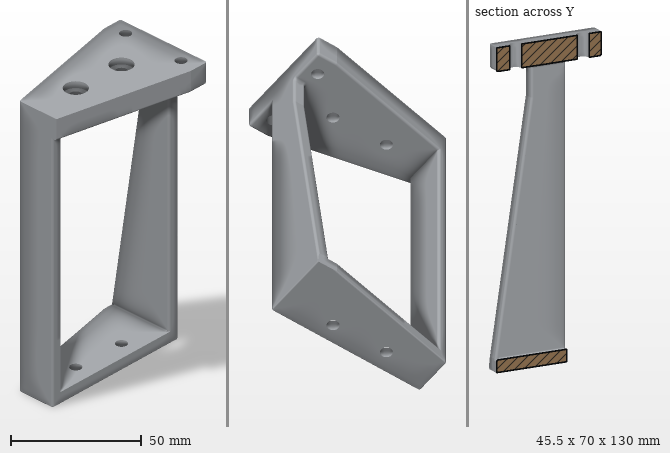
import cadquery as cq
width = 45.5
depth = 70.0
height = 130.0
half_width = width / 2

front_half_width = 9.75
taper_end_y = 61.0

front_leg = 4.3
rear_wall = 5.2
base = 5.2
head = 9.7
wall_y = depth - rear_wall
head_underside = height - head

frame_right = 7.75

slant_top_z = 107.5
slant_top_x = -7.2

edge_radius = 1.0
bottom_radius = 0.5
floor_corner_radius = 0.6

screw_diameter = 5.0
counterbore_diameter = 10.0
counterbore_depth = 3.0
screw_points = [(-0.6, 21.7), (0.2, 46.3)]
rear_hole_points = [(-14.3, 64.0), (14.8, 64.0)]


def box_between(low, high):
    """Box with the two given opposite corners."""
    sizes = [b - a for a, b in zip(low, high)]
    return cq.Workplane("XY").box(*sizes, centered=False).translate(low)


def make_plan_prism():
    outline = [
        (-front_half_width, 0),
        (front_half_width, 0),
        (half_width, taper_end_y),
        (half_width, depth),
        (-half_width, depth),
        (-half_width, taper_end_y),
    ]
    return cq.Workplane("XY").polyline(outline).close().extrude(height)


def make_window():
    return box_between((-width, front_leg, base), (width, wall_y, head_underside))


def make_right_cut():
    return box_between((frame_right, 0, 0), (width, depth, head_underside))


def make_slant_cut():
    """Space to the left of the rear wall, between base and head."""
    profile = [
        (-half_width, base),
        (slant_top_x, slant_top_z),
        (slant_top_x, head_underside),
        (-width, head_underside),
        (-width, base),
    ]
    rear_plane = cq.Workplane("XZ", origin=(0, depth, 0))
    return rear_plane.polyline(profile).close().extrude(rear_wall)


def round_edges(part, radius, segments):
    """Round the straight edges of a part that have the given end points."""
    picked = []
    for start, end in segments:
        middle = tuple((a + b) / 2 for a, b in zip(start, end))
        picked += part.edges(cq.selectors.NearestToPointSelector(middle)).vals()
    return part.newObject(picked).fillet(radius)


def polyline_segments(points):
    return list(zip(points, points[1:]))


def round_window_mouth(part):
    """Round the base, leg and head edges on the open left side of the window."""
    taper_slope = (half_width - front_half_width) / taper_end_y
    leg_x = -front_half_width - taper_slope * front_leg
    mouth = [
        (-half_width, wall_y, base),
        (-half_width, taper_end_y, base),
        (leg_x, front_leg, base),
        (leg_x, front_leg, head_underside),
        (-half_width, taper_end_y, head_underside),
        (-half_width, depth, head_underside),
    ]
    return round_edges(part, edge_radius, polyline_segments(mouth))


def wall_left_edge(y):
    return polyline_segments([
        (-half_width, y, base),
        (slant_top_x, y, slant_top_z),
        (slant_top_x, y, head_underside),
    ])


def round_rear_wall(part):
    """Round the left edge of the rear wall and blend the wall into the head."""
    part = round_edges(part, edge_radius, wall_left_edge(wall_y))
    head_joint = [
        (frame_right, wall_y, head_underside),
        (slant_top_x, wall_y, head_underside),
        (slant_top_x, depth, head_underside),
    ]
    part = round_edges(part, edge_radius, polyline_segments(head_joint))
    return round_edges(part, edge_radius, wall_left_edge(depth))


def round_head(part):
    """Round the rear corners of the head and its lower right edges."""
    rear_corners = [
        ((x, depth, head_underside), (x, depth, height))
        for x in (-half_width, half_width)
    ]
    part = round_edges(part, edge_radius, rear_corners)
    lower_right = [
        (front_half_width, 0, head_underside),
        (half_width, taper_end_y, head_underside),
        (half_width, depth, head_underside),
    ]
    return round_edges(part, edge_radius, polyline_segments(lower_right))


def round_right_side(part):
    """Round the vertical right-hand edges of the leg front and of the rear wall."""
    verticals = [
        ((frame_right, 0, 0), (frame_right, 0, head_underside)),
        ((frame_right, wall_y, base), (frame_right, wall_y, head_underside)),
        ((frame_right, depth, 0), (frame_right, depth, head_underside)),
    ]
    for vertical in verticals:
        part = round_edges(part, edge_radius, [vertical])
    return part


def round_bottom(part):
    outline = [
        (-half_width, taper_end_y, 0),
        (-front_half_width, 0, 0),
        (frame_right, 0, 0),
        (frame_right, depth, 0),
        (-half_width, depth, 0),
    ]
    return round_edges(part, bottom_radius, polyline_segments(outline))


def make_floor_blend():
    """Concave strip in the corner between the base and the rear wall."""
    left = -half_width + edge_radius + floor_corner_radius
    right = frame_right - edge_radius
    corner = box_between(
        (left, wall_y - floor_corner_radius, base),
        (right, wall_y + floor_corner_radius, base + floor_corner_radius),
    )
    hollow = (
        cq.Workplane("YZ", origin=(left, 0, 0))
        .center(wall_y - floor_corner_radius, base + floor_corner_radius)
        .circle(floor_corner_radius)
        .extrude(right - left)
    )
    return corner.cut(hollow)


def make_pins(points, diameter, bottom, top):
    """Vertical cylinders that cut the holes."""
    plane = cq.Workplane("XY", origin=(0, 0, bottom))
    return plane.pushPoints(points).circle(diameter / 2).extrude(top - bottom)


body = make_plan_prism().cut(make_window()).cut(make_right_cut()).cut(make_slant_cut())

body = round_window_mouth(body)
body = round_rear_wall(body)
body = round_edges(body, edge_radius, [((-front_half_width, 0, 0), (-front_half_width, 0, height))])
body = round_head(body)
body = round_right_side(body)
body = round_bottom(body)
body = body.union(make_floor_blend())

body = body.cut(make_pins(screw_points, screw_diameter, 0, height))
body = body.cut(make_pins(screw_points, counterbore_diameter, height - counterbore_depth, height))
body = body.cut(make_pins(rear_hole_points, screw_diameter, head_underside, height))

result = body